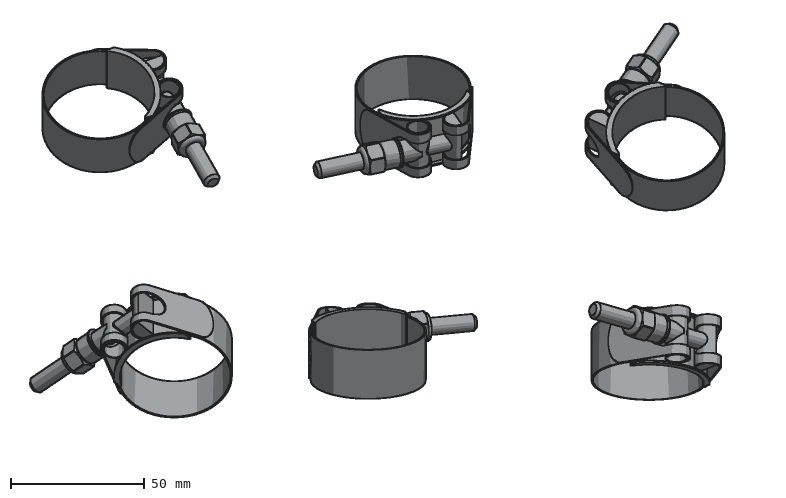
import cadquery as cq
import math

band_outer_radius = 21.7
band_thickness = 0.6
band_width = 19.4
band_inner_radius = band_outer_radius - band_thickness
lap_outer_radius = band_outer_radius + band_thickness
lap_tip_y = 2.4
lap_round_length = 5.8
slot_width = 11.3
slot_round_y = 26.5

loop_x = 7.6
loop_inner_radius = 4.4
loop_outer_radius = loop_inner_radius + band_thickness
loop_distance = band_inner_radius + loop_outer_radius
loop_y = math.sqrt(loop_distance**2 - loop_x**2)
loop_angle = math.degrees(math.atan2(loop_y, loop_x))
strap_angle = loop_angle - math.degrees(
    math.acos((lap_outer_radius - loop_outer_radius) / loop_distance)
)

bridge_thickness = 0.7
bridge_outer_radius = band_inner_radius
bridge_inner_radius = bridge_outer_radius - bridge_thickness
bridge_flange_radius = 22.7
bridge_width = 22.0
bridge_half_length = 18.05
bridge_end_y = 10.5

roller_radius = 4.25
roller_wall = 0.35
axis_y = loop_y - (loop_inner_radius - roller_radius)

bolt_radius = 3.25
bolt_end_x = 48.7
bolt_chamfer_length = 1.2
bolt_chamfer_depth = 1.05
tee_flat_x = -8.35

sleeve_radius = 4.4
collar_radius = 5.4
collar_start_x = 15.45
collar_end_x = 22.5
collar_fillet = 1.05
rim_radius = 5.75
rim_thickness = 0.5
rim_taper_length = 0.65

nut_across_flats = 11.2
nut_turned_radius = 6.4
nut_hex_length = 6.6
nut_length = 7.9
nut_crown_fillet = nut_length - nut_hex_length
nut_chamfer_length = 0.65
nut_face_radius = 5.2
nut_crown_radius = 5.45


def polar(center, radius, degrees):
    """Point at a radius and angle from a centre."""
    angle = math.radians(degrees)
    return (center[0] + radius * math.cos(angle), center[1] + radius * math.sin(angle))


def bent_strip(center, inner, outer, start, end):
    """Band-wide strip bent along an arc from the start angle to the end angle."""
    middle = (start + end) / 2
    return (
        cq.Workplane("XY", origin=(0, 0, -band_width / 2))
        .moveTo(*polar(center, inner, start))
        .threePointArc(polar(center, inner, middle), polar(center, inner, end))
        .lineTo(*polar(center, outer, end))
        .threePointArc(polar(center, outer, middle), polar(center, outer, start))
        .close()
        .extrude(band_width)
    )


def x_cylinder(radius, start, end):
    """Cylinder on the bolt axis between two X positions."""
    return cq.Workplane("YZ", origin=(start, axis_y, 0)).circle(radius).extrude(end - start)


def crosswise_cylinder(radius, x):
    """Band-wide cylinder that crosses the bolt axis at right angles."""
    return cq.Workplane("XY", origin=(x, axis_y, -band_width / 2)).circle(radius).extrude(band_width)


def make_band_end():
    """Right-hand loop with its straight strap and the lapped end."""
    center = (loop_x, loop_y)
    loop = bent_strip(center, loop_inner_radius, loop_outer_radius, strap_angle, loop_angle + 180)
    strap = (
        cq.Workplane("XY", origin=(0, 0, -band_width / 2))
        .polyline([
            polar(center, loop_inner_radius, strap_angle),
            polar(center, loop_outer_radius, strap_angle),
            polar((0, 0), lap_outer_radius, strap_angle),
            polar((0, 0), band_outer_radius, strap_angle),
        ])
        .close()
        .extrude(band_width)
    )
    lap = bent_strip((0, 0), band_outer_radius, lap_outer_radius, 0, strap_angle)
    round_start_y = lap_tip_y + lap_round_length
    lap_outline = (
        cq.Workplane("YZ")
        .moveTo(lap_outer_radius, -band_width / 2)
        .lineTo(round_start_y, -band_width / 2)
        .ellipseArc(lap_round_length, band_width / 2, 90, 270, startAtCurrent=True, sense=-1)
        .lineTo(lap_outer_radius, band_width / 2)
        .close()
        .extrude(lap_outer_radius)
    )
    slot_top = loop_y + 2 * loop_outer_radius
    slot = (
        cq.Workplane("YZ")
        .moveTo(slot_top, -slot_width / 2)
        .lineTo(slot_round_y, -slot_width / 2)
        .threePointArc((slot_round_y - slot_width / 2, 0), (slot_round_y, slot_width / 2))
        .lineTo(slot_top, slot_width / 2)
        .close()
        .extrude(lap_outer_radius)
    )
    return loop.union(strap).cut(slot).union(lap.intersect(lap_outline))


def make_band():
    ring = bent_strip((0, 0), band_inner_radius, band_outer_radius, loop_angle - 360, 180 - loop_angle)
    right_end = make_band_end()
    spacer_relief = x_cylinder(rim_radius, loop_x + loop_outer_radius, lap_outer_radius)
    return ring.union(right_end.mirror("YZ")).union(right_end.cut(spacer_relief))


def make_bridge():
    half_width = bridge_width / 2
    channel_half_width = half_width - bridge_thickness
    channel = (
        cq.Workplane("XZ")
        .polyline([
            (bridge_inner_radius, -half_width),
            (bridge_flange_radius, -half_width),
            (bridge_flange_radius, -channel_half_width),
            (bridge_outer_radius, -channel_half_width),
            (bridge_outer_radius, channel_half_width),
            (bridge_flange_radius, channel_half_width),
            (bridge_flange_radius, half_width),
            (bridge_inner_radius, half_width),
        ])
        .close()
        .revolve(360, (0, 0), (0, 1))
    )
    kept = cq.Workplane("XY").box(
        2 * bridge_half_length, bridge_flange_radius, bridge_width, centered=(True, False, True)
    ).translate((0, bridge_end_y, 0))
    return channel.intersect(kept)


def make_t_bolt():
    """Bolt shank with a flat-backed round crosshead lying in the left-hand loop."""
    shank = x_cylinder(bolt_radius, -loop_x, bolt_end_x)
    shank = shank.faces(">X").chamfer(bolt_chamfer_length, bolt_chamfer_depth)
    flat_cut = cq.Workplane("XY").box(
        loop_outer_radius, 3 * loop_outer_radius, band_width, centered=(False, True, True)
    ).translate((tee_flat_x - loop_outer_radius, axis_y, 0))
    return crosswise_cylinder(roller_radius, -loop_x).cut(flat_cut).union(shank)


def make_roller():
    tube = crosswise_cylinder(roller_radius, loop_x)
    bore = crosswise_cylinder(roller_radius - roller_wall, loop_x)
    return tube.cut(bore).cut(x_cylinder(bolt_radius, 0, bolt_end_x))


def make_spacer():
    """Sleeve saddled on the roller, with a rimmed collar that takes the nut."""
    collar = x_cylinder(collar_radius, collar_start_x, collar_end_x)
    collar = collar.faces(">X").edges().fillet(collar_fillet)
    rim = x_cylinder(rim_radius, collar_start_x, collar_start_x + rim_thickness + rim_taper_length)
    rim = rim.faces(">X").chamfer(rim_taper_length, rim_radius - collar_radius)
    sleeve = x_cylinder(sleeve_radius, loop_x, collar_end_x - collar_fillet)
    saddle = crosswise_cylinder(roller_radius, loop_x)
    bore = x_cylinder(bolt_radius, 0, bolt_end_x)
    return sleeve.union(collar).union(rim).cut(saddle).cut(bore)


def make_nut():
    corner_diameter = 2 * nut_across_flats / math.sqrt(3)
    hexagon = (
        cq.Workplane("YZ", origin=(collar_end_x, axis_y, 0))
        .transformed(rotate=(0, 0, 90))
        .polygon(6, corner_diameter)
        .extrude(nut_hex_length)
    )
    turned = x_cylinder(nut_turned_radius, collar_end_x, collar_end_x + nut_hex_length)
    turned = turned.faces("<X or >X").chamfer(nut_chamfer_length, nut_turned_radius - nut_face_radius)
    crown = x_cylinder(nut_crown_radius, collar_end_x + nut_hex_length / 2, collar_end_x + nut_length)
    crown = crown.faces(">X").edges().fillet(nut_crown_fillet)
    bore = x_cylinder(bolt_radius, 0, bolt_end_x)
    return hexagon.intersect(turned).union(crown).cut(bore)


band = make_band()
bridge = make_bridge()
t_bolt = make_t_bolt()
roller = make_roller()
spacer = make_spacer()
nut = make_nut()

result = cq.Compound.makeCompound([
    band.val(),
    bridge.val(),
    t_bolt.val(),
    roller.val(),
    spacer.val(),
    nut.val(),
])